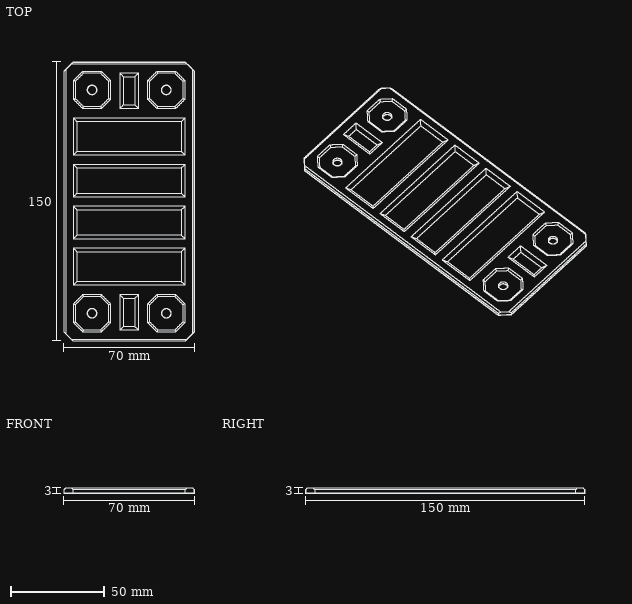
import cadquery as cq
import math

length = 150.0
width = 70.0
thickness = 3.0
corner_cut = 5.0
edge_chamfer = 1.0

seat_size = 20.0
seat_corner_cut = corner_cut
seat_depth = 1.0
seat_wall_inset = seat_depth
hole_diameter = 5.0
hole_x = 20.0
hole_y = 60.0

pocket_depth = 2 * edge_chamfer
pocket_wall_inset = pocket_depth
pocket_width = 60.0
outer_pocket_height = 20.0
outer_pocket_y = 35.0
inner_pocket_height = 17.5
inner_pocket_y = 11.2
slot_width = 10.0
slot_height = 19.0
slot_y = 59.5


def cut_corner_outline(size_x, size_y, corner):
    """Centred rectangle with all four corners cut at 45 degrees."""
    x = size_x / 2
    y = size_y / 2
    return [
        (x, y - corner), (x - corner, y), (corner - x, y), (-x, y - corner),
        (-x, corner - y), (corner - x, -y), (x - corner, -y), (x, corner - y),
    ]


def make_plate():
    outline = cut_corner_outline(width, length, corner_cut)
    plate = cq.Workplane("XY").polyline(outline).close().extrude(thickness)
    return plate.edges(">Z and (|X or |Y)").chamfer(edge_chamfer)


def make_pocket(size_x, size_y, center_y):
    """Cutter for a rectangular pocket that narrows towards its floor."""
    return (
        cq.Workplane("XY", origin=(0, center_y, thickness))
        .rect(size_x, size_y)
        .workplane(offset=-pocket_depth)
        .rect(size_x - 2 * pocket_wall_inset, size_y - 2 * pocket_wall_inset)
        .loft(ruled=True)
    )


def make_seat(center_x, center_y):
    """Cutter for an octagonal seat that narrows at 45 degrees, with its through hole."""
    floor_size = seat_size - 2 * seat_wall_inset
    floor_corner = seat_corner_cut - seat_wall_inset * (2 - math.sqrt(2))
    rim = cut_corner_outline(seat_size, seat_size, seat_corner_cut)
    floor = cut_corner_outline(floor_size, floor_size, floor_corner)
    seat = (
        cq.Workplane("XY", origin=(center_x, center_y, thickness))
        .polyline(rim).close()
        .workplane(offset=-seat_depth)
        .polyline(floor).close()
        .loft(ruled=True)
    )
    hole = (
        cq.Workplane("XY", origin=(center_x, center_y, 0))
        .circle(hole_diameter / 2)
        .extrude(thickness)
    )
    return seat.union(hole)


result = make_plate()
for side_y in (-1, 1):
    result = result.cut(make_pocket(pocket_width, outer_pocket_height, side_y * outer_pocket_y))
    result = result.cut(make_pocket(pocket_width, inner_pocket_height, side_y * inner_pocket_y))
    result = result.cut(make_pocket(slot_width, slot_height, side_y * slot_y))
    for side_x in (-1, 1):
        result = result.cut(make_seat(side_x * hole_x, side_y * hole_y))